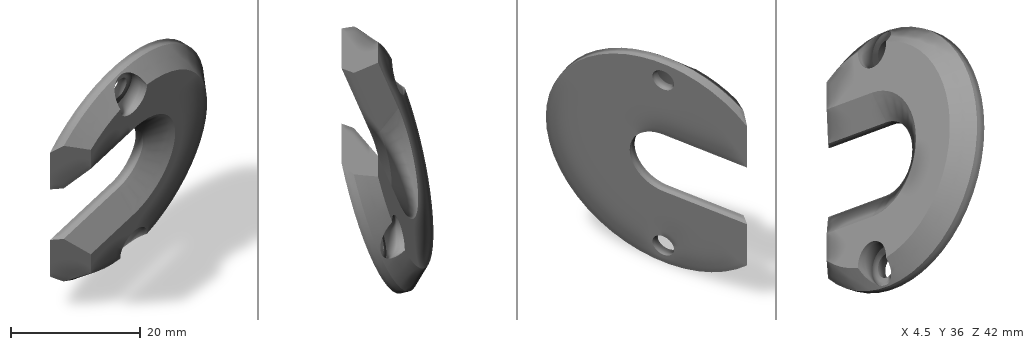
import cadquery as cq

disc_diameter = 42.0
thickness = 4.5
rim_width = 1.5
bevel_height = thickness - rim_width

mouth_distance = 15.0

slot_radius = 6.0
slot_flare_radius = 10.15

hole_offset = 17.5
hole_diameter = 3.85
counterbore_diameter = 6.5
counterbore_floor = 1.5

disc_radius = disc_diameter / 2


def make_disc():
    """Disc with a plain rim and a 45 degree conical bevel on the +X side."""
    profile = [
        (0, 0),
        (0, disc_radius),
        (rim_width, disc_radius),
        (thickness, disc_radius - bevel_height),
        (thickness, 0),
    ]
    return cq.Workplane("XY").polyline(profile).close().revolve(360, (0, 0, 0), (1, 0, 0))


def make_mouth_cut():
    """Wedge that removes the -Y side along a 45 degree plane."""
    profile = [
        (0, -mouth_distance),
        (thickness, -mouth_distance + thickness),
        (thickness, -disc_radius),
        (0, -disc_radius),
    ]
    return cq.Workplane("XY").polyline(profile).close().extrude(disc_radius, both=True)


def make_slot():
    """Round-ended slot, open toward -Y, widening from the rim to the +X face."""
    section = [
        (0, 0),
        (0, slot_radius),
        (rim_width, slot_radius),
        (thickness, slot_flare_radius),
        (thickness, 0),
    ]
    round_end = cq.Workplane("XY").polyline(section).close().revolve(360, (0, 0, 0), (1, 0, 0))
    upper_half = cq.Workplane("XZ").polyline(section).close().extrude(disc_radius)
    lower_half = upper_half.mirror("XY")
    return round_end.union(upper_half).union(lower_half)


def make_screw_hole(z):
    """Through hole with a counterbore entering from the +X side."""
    hole = cq.Workplane("YZ").center(0, z).circle(hole_diameter / 2).extrude(thickness)
    counterbore = (
        cq.Workplane("YZ", origin=(counterbore_floor, 0, 0))
        .center(0, z)
        .circle(counterbore_diameter / 2)
        .extrude(thickness - counterbore_floor)
    )
    return hole.union(counterbore)


result = make_disc().cut(make_mouth_cut()).cut(make_slot())
for hole_z in (-hole_offset, hole_offset):
    result = result.cut(make_screw_hole(hole_z))